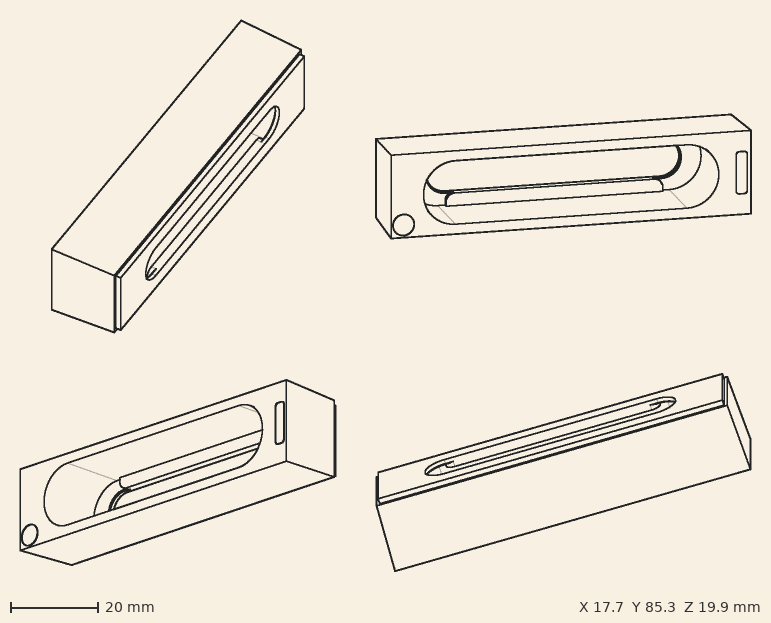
import cadquery as cq
import math

length = 85.35
height = 19.9
total_depth = 17.7
block_depth = 16.4
draft_angle = 2.0

plate_inset = 0.8
draft_loss = block_depth * math.tan(math.radians(draft_angle))
plate_margin = draft_loss + plate_inset
plate_length = length - 2 * plate_margin
plate_height = height - 2 * plate_margin

pocket_length = 70.0
pocket_width = 15.1
opening_length = 60.1
opening_width = 9.05
opening_chamfer = 0.25
chamfer_angle = 45.0

rail_length = 51.4
rail_thickness = 1.0
rail_corner_radius = 2.05

recess_depth = 0.2
disc_diameter = 5.0
disc_y = 39.7
disc_z = -6.9
label_width = 2.65
label_height = 10.1
label_corner_radius = 0.8
label_y = -40.45


def section_at(x):
    """Sketch plane facing +X at depth x; local x is Y and local y is Z."""
    return cq.Workplane("YZ", origin=(x, 0, 0))


def make_block():
    block = section_at(0).rect(length, height).extrude(block_depth, taper=draft_angle)
    plate = section_at(block_depth).rect(plate_length, plate_height).extrude(total_depth - block_depth)
    return block.union(plate)


def make_pocket():
    return section_at(0).slot2D(pocket_length, pocket_width).extrude(block_depth)


def make_opening():
    """Through slot with a chamfered mouth where it leaves the pocket floor."""
    slot = section_at(block_depth).slot2D(opening_length, opening_width).extrude(total_depth - block_depth)
    mouth_growth = 2 * opening_chamfer
    mouth = (
        section_at(block_depth)
        .slot2D(opening_length + mouth_growth, opening_width + mouth_growth)
        .extrude(opening_chamfer, taper=chamfer_angle)
    )
    return slot.union(mouth)


def make_rail(side):
    """Rail against the pocket wall; it also fills the chamfer beneath it."""
    rail_width = (pocket_width - opening_width) / 2
    rail_z = side * (opening_width + rail_width) / 2
    inner_corners = "<Z" if side > 0 else ">Z"
    return (
        section_at(block_depth - rail_thickness)
        .center(0, rail_z)
        .rect(rail_length, rail_width)
        .extrude(rail_thickness + opening_chamfer)
        .faces(inner_corners)
        .edges("|X")
        .fillet(rail_corner_radius)
    )


def make_recesses():
    disc = section_at(0).center(disc_y, disc_z).circle(disc_diameter / 2).extrude(recess_depth)
    label = (
        section_at(0)
        .center(label_y, 0)
        .rect(label_width, label_height)
        .extrude(recess_depth)
        .edges("|X")
        .fillet(label_corner_radius)
    )
    return disc.union(label)


result = make_block().cut(make_pocket()).cut(make_opening())
for side in (1, -1):
    result = result.union(make_rail(side))
result = result.cut(make_recesses())